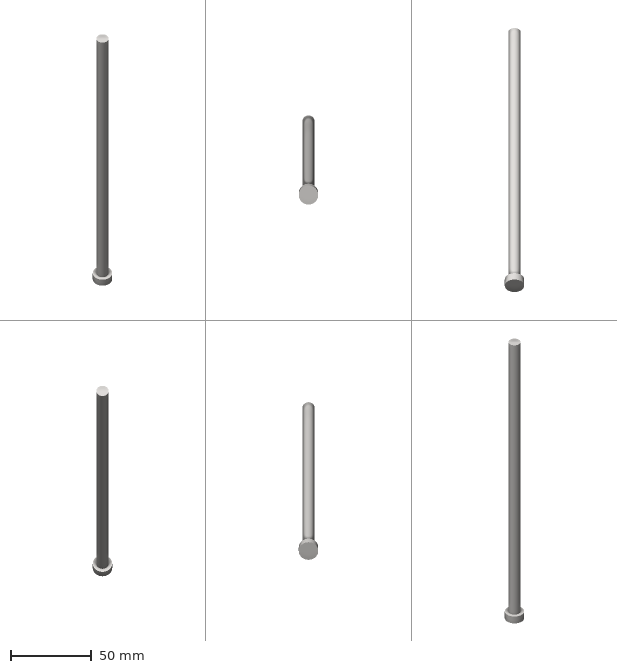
import cadquery as cq

total_length = 205.0
head_diameter = 12.0
head_height = 5.1
shank_diameter = 7.5

head = cq.Workplane("XY").circle(head_diameter / 2).extrude(head_height)
shank = cq.Workplane("XY").circle(shank_diameter / 2).extrude(total_length)

result = head.union(shank)